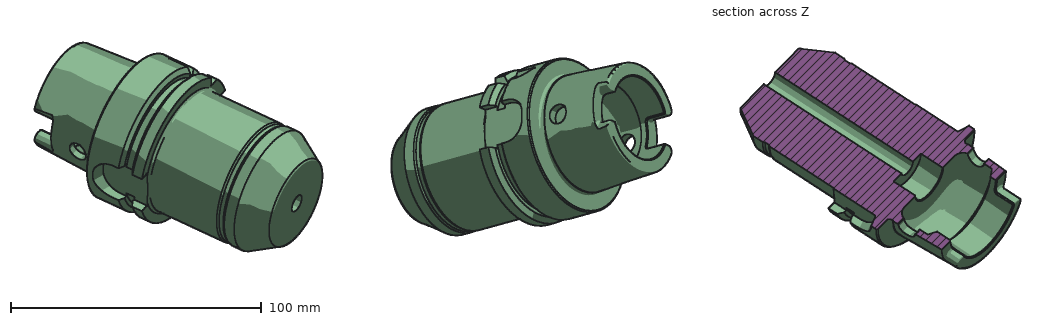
import cadquery as cq
import math


LENGTH = 112.0
BODY_R = 26.2

TAPER_END_X = 29.8
TAPER_END_R = 24.2
TAPER_SLOPE = 1 / 20
TAPER_TIP_R = TAPER_END_R - TAPER_END_X * TAPER_SLOPE
NECK_R = 24.0
TIP_ROUND = 1.0

FLANGE_X = 32.0
FLANGE_R = 31.5
FLANGE_END_X = 57.9
FLANGE_CHAMFER = 0.6
FLANGE_FILLET = 1.1
NECK_FILLET = 1.3
GROOVE_START_X = 48.0
GROOVE_END_X = 51.7
GROOVE_R = 27.4
GROOVE_CHAMFER_R = 29.2
GROOVE_FRONT_CHAMFER = 1.3
GROOVE_REAR_CHAMFER = 1.7

RING_START_X = 91.0
RING_END_X = 94.6
RING_DEPTH = 0.5
RING_FLANK = 0.9
CONE_START_X = 99.4
NOSE_R = 19.2
NOSE_ROUND = 0.7

MOUTH_R = 17.0
MOUTH_CHAMFER = 0.5
MOUTH_DEPTH = 13.0
CLAMP_R = 20.5
CLAMP_CONE_ANGLE = 60
BORE_DEPTH = 30.5
BORE_FLOOR_FILLET = 4.7
THREAD_R = 8.6
THREAD_DEPTH = 11.2
THREAD_CHAMFER = 0.3
COOLANT_R = 3.6

SLOT_HALF_WIDTH = 6.3
SLOT_SHOULDER_Y = 20.7
SLOT_WALL_ROUND = 2.7
SLOT_FLOOR_FILLET = 1.5
SLOT_MOUTH_ROUND = 0.7
FRONT_SLOT_DEPTH = 9.9
BACK_SLOT_DEPTH = 5.8

CROSS_HOLE_X = 23.1
CROSS_HOLE_R = 4.0

KEYWAY_HALF_WIDTH = 9.0
KEYWAY_FLOOR_Y = 26.4
KEYWAY_FLOOR_X = 37.0
KEYWAY_TOP_X = 35.3
KEYWAY_CORNER_R = 8.0

NOTCH_FLOOR = 19.9
NOTCH_CUTTER_R = 8.0
NOTCH_CUTTER_X = 44.8

CLEARANCE = 5.6

TOLERANCE = 0.01
EDGE_SAMPLES = (0, 0.3, 0.6, 1)


def revolve_about_x(profile):
    return profile.close().revolve(360, (0, 0, 0), (1, 0, 0))


def holder_body():
    """Outer shape of the holder as a solid of revolution."""
    profile = (
        cq.Workplane("XY")
        .lineTo(0, TAPER_TIP_R)
        .lineTo(TAPER_END_X, TAPER_END_R)
        .lineTo(TAPER_END_X, NECK_R)
        .lineTo(FLANGE_X - NECK_FILLET, NECK_R)
        .radiusArc((FLANGE_X, NECK_R + NECK_FILLET), -NECK_FILLET)
        .lineTo(FLANGE_X, FLANGE_R - FLANGE_CHAMFER)
        .lineTo(FLANGE_X + FLANGE_CHAMFER, FLANGE_R)
        .lineTo(GROOVE_START_X - GROOVE_FRONT_CHAMFER, FLANGE_R)
        .lineTo(GROOVE_START_X, GROOVE_CHAMFER_R)
        .lineTo(GROOVE_START_X, GROOVE_R)
        .lineTo(GROOVE_END_X, GROOVE_R)
        .lineTo(GROOVE_END_X, GROOVE_CHAMFER_R)
        .lineTo(GROOVE_END_X + GROOVE_REAR_CHAMFER, FLANGE_R)
        .lineTo(FLANGE_END_X, FLANGE_R)
        .lineTo(FLANGE_END_X, BODY_R + FLANGE_FILLET)
        .radiusArc((FLANGE_END_X + FLANGE_FILLET, BODY_R), -FLANGE_FILLET)
        .lineTo(RING_START_X, BODY_R)
        .lineTo(RING_START_X + RING_FLANK, BODY_R - RING_DEPTH)
        .lineTo(RING_END_X - RING_FLANK, BODY_R - RING_DEPTH)
        .lineTo(RING_END_X, BODY_R)
        .lineTo(CONE_START_X, BODY_R)
        .lineTo(LENGTH - NOSE_ROUND, NOSE_R)
        .radiusArc((LENGTH, NOSE_R - NOSE_ROUND), NOSE_ROUND)
        .lineTo(LENGTH, 0)
    )
    return revolve_about_x(profile)


def tip_rounding():
    """Ring of material outside the rounded rim of the open end."""
    rim_x = TIP_ROUND
    rim_r = TAPER_TIP_R + TIP_ROUND * TAPER_SLOPE
    profile = (
        cq.Workplane("XY")
        .moveTo(0, TAPER_TIP_R - TIP_ROUND)
        .radiusArc((rim_x, rim_r), TIP_ROUND)
        .lineTo(rim_x, rim_r + CLEARANCE)
        .lineTo(-CLEARANCE, rim_r + CLEARANCE)
        .lineTo(-CLEARANCE, TAPER_TIP_R - TIP_ROUND)
    )
    return revolve_about_x(profile)


def bore():
    """Mouth, wider clamping chamber, coolant-tube seat and coolant hole."""
    cone_length = (CLAMP_R - MOUTH_R) / math.tan(math.radians(CLAMP_CONE_ANGLE))
    seat_end_x = BORE_DEPTH + THREAD_DEPTH
    profile = (
        cq.Workplane("XY")
        .lineTo(0, MOUTH_R)
        .lineTo(MOUTH_DEPTH, MOUTH_R)
        .lineTo(MOUTH_DEPTH + cone_length, CLAMP_R)
        .lineTo(BORE_DEPTH - BORE_FLOOR_FILLET, CLAMP_R)
        .radiusArc((BORE_DEPTH, CLAMP_R - BORE_FLOOR_FILLET), BORE_FLOOR_FILLET)
        .lineTo(BORE_DEPTH, THREAD_R + THREAD_CHAMFER)
        .lineTo(BORE_DEPTH + THREAD_CHAMFER, THREAD_R)
        .lineTo(seat_end_x, THREAD_R)
        .lineTo(seat_end_x, COOLANT_R)
        .lineTo(LENGTH, COOLANT_R)
        .lineTo(LENGTH, 0)
    )
    return revolve_about_x(profile)


def drive_slot(side, depth):
    """Slot through the taper wall on the given Y side, flaring out onto a flat shoulder."""
    inner_y = side * MOUTH_R / 2
    outer_y = side * (TAPER_END_R + CLEARANCE)
    flare_z = TAPER_END_R / 2 + CLEARANCE
    wall_end_y = side * (SLOT_SHOULDER_Y - SLOT_WALL_ROUND)
    shoulder_y = side * SLOT_SHOULDER_Y
    flare_start_z = SLOT_HALF_WIDTH + SLOT_WALL_ROUND
    bulge = side * SLOT_WALL_ROUND
    return (
        cq.Workplane("YZ", origin=(-CLEARANCE, 0, 0))
        .moveTo(inner_y, -SLOT_HALF_WIDTH)
        .lineTo(wall_end_y, -SLOT_HALF_WIDTH)
        .radiusArc((shoulder_y, -flare_start_z), bulge)
        .lineTo(shoulder_y, -flare_z)
        .lineTo(outer_y, -flare_z)
        .lineTo(outer_y, flare_z)
        .lineTo(shoulder_y, flare_z)
        .lineTo(shoulder_y, flare_start_z)
        .radiusArc((wall_end_y, SLOT_HALF_WIDTH), bulge)
        .lineTo(inner_y, SLOT_HALF_WIDTH)
        .close()
        .extrude(depth + CLEARANCE)
        .faces(">X")
        .edges()
        .fillet(SLOT_FLOOR_FILLET)
    )


def keyway(side):
    """Flange keyway with a flat floor, a leaning end wall and rounded corners."""
    lean = (KEYWAY_FLOOR_X - KEYWAY_TOP_X) / (FLANGE_R - KEYWAY_FLOOR_Y)
    outer_y = FLANGE_R + CLEARANCE
    end_x = FLANGE_END_X + CLEARANCE
    return (
        cq.Workplane("XY", origin=(0, 0, -KEYWAY_HALF_WIDTH))
        .moveTo(KEYWAY_FLOOR_X, side * KEYWAY_FLOOR_Y)
        .lineTo(end_x, side * KEYWAY_FLOOR_Y)
        .lineTo(end_x, side * outer_y)
        .lineTo(KEYWAY_FLOOR_X - lean * (outer_y - KEYWAY_FLOOR_Y), side * outer_y)
        .close()
        .extrude(2 * KEYWAY_HALF_WIDTH)
        .faces("<X")
        .edges("<Z or >Z")
        .fillet(KEYWAY_CORNER_R)
    )


def orientation_notch():
    """Corner cut with a rounded run-out, as left by a disc cutter turning about Y."""
    notch_size = FLANGE_R + CLEARANCE - NOTCH_FLOOR
    end_x = FLANGE_END_X + CLEARANCE
    floor_cut = cq.Workplane("XY").box(
        end_x - NOTCH_CUTTER_X, notch_size, notch_size, centered=False
    )
    floor_cut = floor_cut.translate((NOTCH_CUTTER_X, NOTCH_FLOOR, NOTCH_FLOOR))
    run_out = (
        cq.Workplane("XZ", origin=(NOTCH_CUTTER_X, NOTCH_FLOOR, NOTCH_FLOOR + NOTCH_CUTTER_R))
        .circle(NOTCH_CUTTER_R)
        .extrude(-notch_size)
    )
    return floor_cut.union(run_out)


def cross_hole():
    return (
        cq.Workplane("XZ", origin=(CROSS_HOLE_X, 0, 0))
        .circle(CROSS_HOLE_R)
        .extrude(FLANGE_R, both=True)
    )


def is_slot_wall(edge):
    """True for the end-face edges that run along the straight and flared slot walls."""
    center = edge.Center()
    is_outside_bore = abs(center.y) > MOUTH_R - SLOT_WALL_ROUND
    is_near_slot = abs(center.z) < SLOT_HALF_WIDTH + SLOT_WALL_ROUND
    return is_outside_bore and is_near_slot


def is_bore_rim(edge):
    """True for edges on the bore wall around the open end, including the slot edges."""
    points = edge.positions(EDGE_SAMPLES)
    return all(
        point.x < FRONT_SLOT_DEPTH + TOLERANCE
        and math.isclose(math.hypot(point.y, point.z), MOUTH_R, abs_tol=TOLERANCE)
        for point in points
    )


result = holder_body().cut(bore())
result = result.cut(drive_slot(-1, FRONT_SLOT_DEPTH))
result = result.cut(drive_slot(1, BACK_SLOT_DEPTH))

result = result.edges().filter(is_bore_rim).chamfer(MOUTH_CHAMFER)
result = result.faces("<X").edges().filter(is_slot_wall).fillet(SLOT_MOUTH_ROUND)
result = result.cut(tip_rounding())

result = result.cut(cross_hole())
for keyway_side in (-1, 1):
    result = result.cut(keyway(keyway_side))
result = result.cut(orientation_notch())